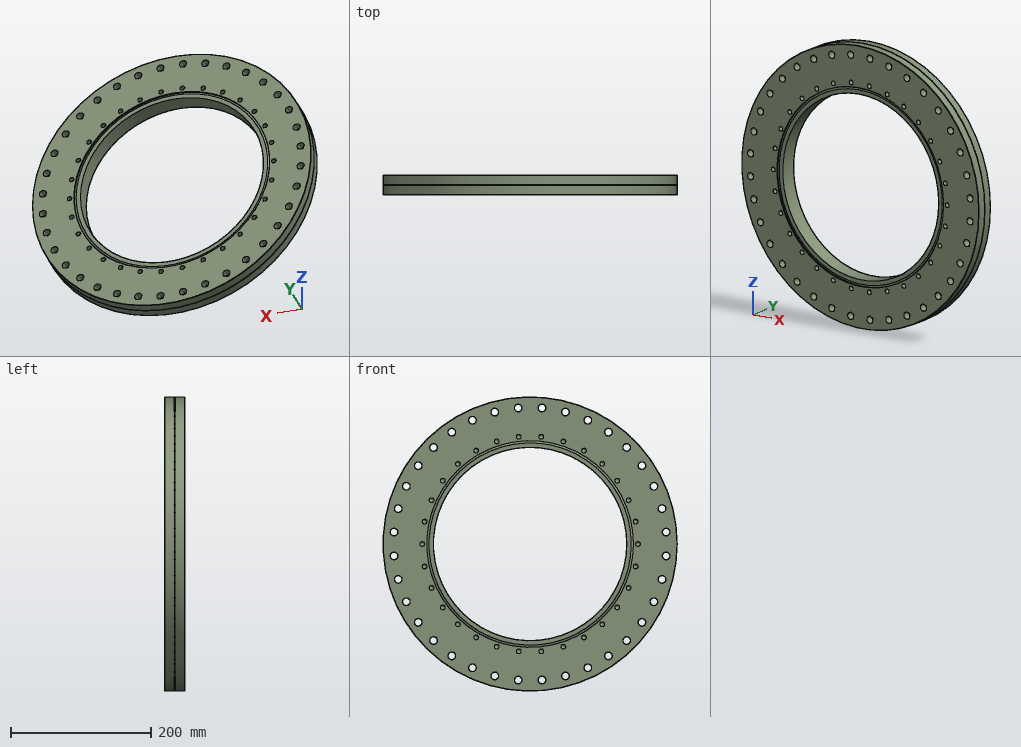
import cadquery as cq
import math

outer_diameter = 419.0
bore_diameter = 275.0
thickness = 28.5
rim_chamfer = 0.5

groove_floor_diameter = 377.0
groove_width = 1.0

seal_outer_diameter = 294.0
knife_edge_diameter = 288.0
knife_slope_angle = 20.0
land_recess = 1.17

bolt_count = 36
bolt_hole_diameter = 10.5
bolt_circle_diameter = 389.0

blind_count = 30
blind_hole_diameter = 6.5
blind_circle_diameter = 307.0
blind_depth = 10.5
drill_point_angle = 118.0

front_y = -thickness / 2


def revolve_profile(points):
    """Revolve a closed (radius, y) outline about the Y axis."""
    return cq.Workplane("XY").polyline(points).close().revolve(360, (0, 0, 0), (0, 1, 0))


def ring_positions(count, circle_diameter, first_angle):
    """Points (x, z) spaced evenly around a circle, angles in degrees."""
    radius = circle_diameter / 2
    angles = [math.radians(first_angle + i * 360 / count) for i in range(count)]
    return [(radius * math.cos(a), radius * math.sin(a)) for a in angles]


def make_ring():
    bore = cq.Workplane("XZ").circle(bore_diameter / 2).extrude(thickness / 2, both=True)
    disc = cq.Workplane("XZ").circle(outer_diameter / 2).extrude(thickness / 2, both=True)
    return disc.edges().chamfer(rim_chamfer).cut(bore)


def make_rim_groove():
    floor = groove_floor_diameter / 2
    rim = outer_diameter / 2
    half = groove_width / 2
    return revolve_profile([(floor, -half), (rim, -half), (rim, half), (floor, half)])


def make_front_seal():
    bore = bore_diameter / 2
    knife = knife_edge_diameter / 2
    outer = seal_outer_diameter / 2
    land_y = front_y + land_recess
    groove_y = land_y + (outer - knife) * math.tan(math.radians(knife_slope_angle))
    return revolve_profile(
        [(bore, front_y), (outer, front_y), (outer, groove_y), (knife, land_y), (bore, land_y)]
    )


def make_bolt_holes():
    points = ring_positions(bolt_count, bolt_circle_diameter, 180 / bolt_count)
    return (
        cq.Workplane("XZ").pushPoints(points)
        .circle(bolt_hole_diameter / 2).extrude(thickness / 2, both=True)
    )


def make_front_blind_holes():
    radius = blind_hole_diameter / 2
    tip_length = radius / math.tan(math.radians(drill_point_angle / 2))
    full_depth_y = front_y + blind_depth
    drill = revolve_profile(
        [(0, front_y), (radius, front_y), (radius, full_depth_y), (0, full_depth_y + tip_length)]
    ).val()
    points = ring_positions(blind_count, blind_circle_diameter, 0)
    drills = [drill.translate(cq.Vector(x, 0, z)) for x, z in points]
    return cq.Workplane("XZ").newObject(drills).combine()


ring = make_ring().cut(make_rim_groove()).cut(make_bolt_holes())

for face_cut in (make_front_seal(), make_front_blind_holes()):
    ring = ring.cut(face_cut).cut(face_cut.mirror("XZ"))

result = ring